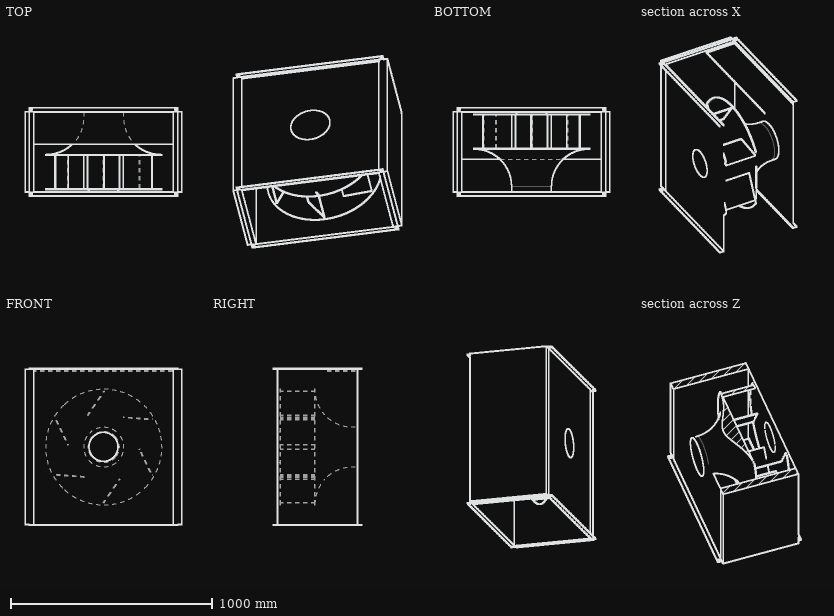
import cadquery as cq
import math

casing_width = 780.0
casing_depth = 399.0
overall_height = 780.0
side_panel = 44.0
sheet = 2.0
chamber_width = casing_width - 2 * side_panel

flange_width = 739.5
flange_depth = 440.0
flange_opening_depth = 395.0
flange_thickness = 4.0
bolt_diameter = 8.0
bolt_inset = 10.0
panel_height = overall_height - 2 * flange_thickness

cover_front = 37.0
cover_thickness = 4.0
cover_top = 380.0

wheel_radius = 288.5
plate_thickness = 4.0
shroud_front = -17.0
shroud_back = shroud_front + plate_thickness
neck_radius = 99.0
flare_radius = 185.0
backplate_front = -188.0
backplate_back = backplate_front + plate_thickness
hub_radius = 77.0
hub_taper = 6.0

blade_count = 6
blade_tip_radius = 278.5
blade_root_radius = 179.5
blade_tip_angle = 90.0
blade_root_angle = 116.8
blade_thickness = 4.0


def block(width, depth, height, center):
    return cq.Workplane("XY").box(width, depth, height).translate(center)


def revolve_about_y(profile):
    return profile.close().revolve(360, (0, 0, 0), (0, 1, 0))


def make_casing():
    outside = block(casing_width, casing_depth, panel_height, (0, 0, 0))
    chamber = block(chamber_width, casing_depth - 2 * sheet, overall_height, (0, 0, 0))
    return outside.cut(chamber)


def make_flange(bottom):
    return (
        cq.Workplane("XY", origin=(0, 0, bottom))
        .rect(flange_width, flange_depth)
        .rect(chamber_width, flange_opening_depth)
        .extrude(flange_thickness)
        .faces(">Z")
        .workplane(origin=(0, 0, 0))
        .rect(flange_width - 2 * bolt_inset, flange_depth - 2 * bolt_inset, forConstruction=True)
        .vertices()
        .hole(bolt_diameter)
    )


def make_cover():
    cover_depth = casing_depth / 2 - cover_front
    return block(
        chamber_width,
        cover_depth,
        cover_thickness,
        (0, cover_front + cover_depth / 2, cover_top - cover_thickness / 2),
    )


def make_shroud():
    """Wheel plate that narrows along a quarter circle to a neck on the rear wall."""
    rear_wall = casing_depth / 2
    flare_center_radius = neck_radius + flare_radius
    flare_center_y = shroud_back + flare_radius
    offset = flare_radius * math.sqrt(0.5)
    profile = (
        cq.Workplane("XY")
        .moveTo(0, rear_wall)
        .lineTo(neck_radius, rear_wall)
        .lineTo(neck_radius, flare_center_y)
        .threePointArc(
            (flare_center_radius - offset, flare_center_y - offset),
            (flare_center_radius, shroud_back),
        )
        .lineTo(wheel_radius, shroud_back)
        .lineTo(wheel_radius, shroud_front)
        .lineTo(0, shroud_front)
    )
    return revolve_about_y(profile)


def make_backplate():
    """Disc opposite the shroud, with its tapered hub seated on the front wall."""
    hub_end = -casing_depth / 2
    profile = (
        cq.Workplane("XY")
        .moveTo(0, backplate_back)
        .lineTo(wheel_radius, backplate_back)
        .lineTo(wheel_radius, backplate_front)
        .lineTo(hub_radius, backplate_front)
        .lineTo(hub_radius - hub_taper, hub_end)
        .lineTo(0, hub_end)
    )
    return revolve_about_y(profile)


def polar_point(radius, angle):
    return (radius * math.cos(angle), radius * math.sin(angle))


def make_blades():
    tip_x, tip_z = polar_point(blade_tip_radius, math.radians(blade_tip_angle))
    root_x, root_z = polar_point(blade_root_radius, math.radians(blade_root_angle))
    slope = math.atan2(tip_z - root_z, tip_x - root_x)
    shift_x = blade_thickness * math.sin(slope)
    shift_z = -blade_thickness * math.cos(slope)
    blade = (
        cq.Workplane("XZ", origin=(0, shroud_front, 0))
        .polyline([
            (tip_x, tip_z),
            (root_x, root_z),
            (root_x + shift_x, root_z + shift_z),
            (tip_x + shift_x, tip_z + shift_z),
        ])
        .close()
        .extrude(shroud_front - backplate_back)
    )
    blades = blade
    for index in range(1, blade_count):
        angle = index * 360 / blade_count
        blades = blades.union(blade.rotate((0, 0, 0), (0, 1, 0), angle))
    return blades


wheel = make_shroud().union(make_blades()).union(make_backplate())
result = (
    make_casing()
    .union(make_flange(panel_height / 2))
    .union(make_flange(-overall_height / 2))
    .union(make_cover())
    .union(wheel)
)